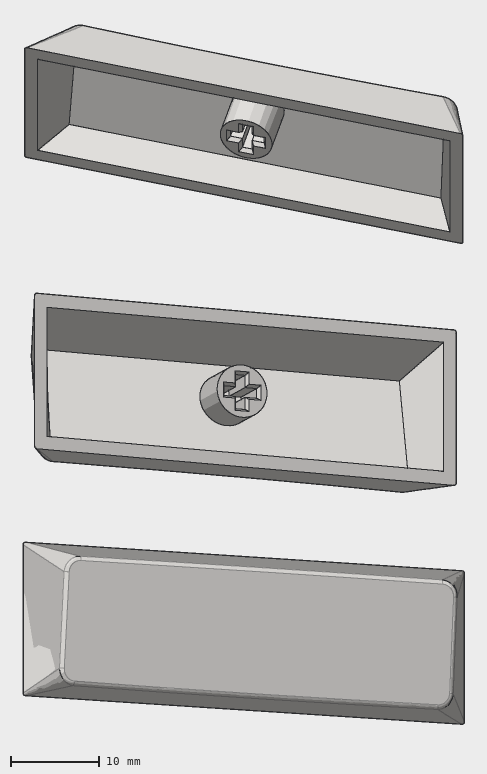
import cadquery as cq
import math

length = 51.6
height = 18.1
rim_corner = 0.3
rim_width = 1.55

crown_length = 45.7
crown_corner = 1.9
crown_bottom_y = 6.0
crown_top_y = 8.75
crown_top_z = 14.3
dish_depth = 0.45
crown_fillet = 0.5

floor_bottom_y = 4.85
floor_top_y = 7.1
floor_top_z = 13.3
floor_bottom_length = 43.75
floor_top_length = 43.35

stem_diameter = 6.1
stem_front_y = 1.05
cross_span = 4.6
cross_width = 1.75
cross_lead_in = 0.3
lead_in_depth = 0.5

mid_x = length / 2
mid_z = height / 2
crown_slope = math.hypot(crown_top_y - crown_bottom_y, crown_top_z)


def tilted_plane(bottom_y, bottom_z, top_y, top_z):
    """Plane centred between two edges parallel to X, its local y running up the slope."""
    rise = cq.Vector(0, top_y - bottom_y, top_z - bottom_z)
    along = cq.Vector(1, 0, 0)
    centre = (mid_x, (bottom_y + top_y) / 2, (bottom_z + top_z) / 2)
    return cq.Plane(origin=centre, xDir=along, normal=along.cross(rise))


def trapezoid(bottom_y, bottom_z, top_y, top_z, bottom_length, top_length):
    """Closed wire between a bottom and a top edge parallel to X, both centred on the part."""
    corners = [
        (mid_x - bottom_length / 2, bottom_y, bottom_z),
        (mid_x + bottom_length / 2, bottom_y, bottom_z),
        (mid_x + top_length / 2, top_y, top_z),
        (mid_x - top_length / 2, top_y, top_z),
    ]
    return cq.Wire.makePolygon([cq.Vector(*corner) for corner in corners], close=True)


def rounded_outline(plane, width, rise, radius):
    """Closed wire of a rectangle with rounded corners, centred on the plane."""
    face = cq.Sketch().rect(width, rise).vertices().fillet(radius)._faces.Faces()[0]
    return face.outerWire().moved(plane.location)


def outer_body():
    """Solid block tapering from the rim to the crown."""
    rim_plane = tilted_plane(0, 0, 0, height)
    crown_plane = tilted_plane(crown_bottom_y, 0, crown_top_y, crown_top_z)
    rim = rounded_outline(rim_plane, length, height, rim_corner)
    crown = rounded_outline(crown_plane, crown_length, crown_slope, crown_corner)
    return cq.Workplane(cq.Solid.makeLoft([rim, crown], True))


def dish_cutter():
    """Wide cylinder running up the slope that hollows the crown."""
    half = crown_length / 2
    radius = (half**2 + dish_depth**2) / (2 * dish_depth)
    plane = tilted_plane(crown_bottom_y, 0, crown_top_y, crown_top_z)
    outward = -plane.zDir
    lowest = plane.origin - outward * dish_depth
    start = lowest + outward * radius - plane.yDir * crown_slope
    return cq.Workplane(cq.Solid.makeCylinder(radius, 2 * crown_slope, start, plane.yDir))


def cavity():
    """Hollow with sharp corners, from the rim opening to the tilted floor."""
    opening_length = length - 2 * rim_width
    opening = trapezoid(0, rim_width, 0, height - rim_width, opening_length, opening_length)
    floor = trapezoid(
        floor_bottom_y, rim_width, floor_top_y, floor_top_z, floor_bottom_length, floor_top_length
    )
    return cq.Workplane(cq.Solid.makeLoft([opening, floor], True))


def cross_arm(size_x, size_z):
    """Slot of one arm of the cross, with a sloped lead-in at its mouth."""
    mouth = cq.Workplane("XZ", origin=(mid_x, stem_front_y, mid_z)).rect(size_x, size_z)
    throat_size = (size_x - 2 * cross_lead_in, size_z - 2 * cross_lead_in)
    lead_in = mouth.workplane(offset=-lead_in_depth).rect(*throat_size).loft(ruled=True)
    slot = lead_in.faces(">Y").workplane(centerOption="CenterOfMass").rect(*throat_size)
    return slot.extrude(floor_top_y)


def stem():
    """Boss reaching the cavity floor, with its cross socket."""
    boss = (
        cq.Workplane("XZ", origin=(mid_x, stem_front_y, mid_z))
        .circle(stem_diameter / 2)
        .extrude(-floor_top_y)
        .cut(cross_arm(cross_span, cross_width))
        .cut(cross_arm(cross_width, cross_span))
    )
    return boss.intersect(cavity())


shell = outer_body().cut(dish_cutter())
shell = shell.faces("%CYLINDER").edges().fillet(crown_fillet)
result = shell.cut(cavity()).union(stem())